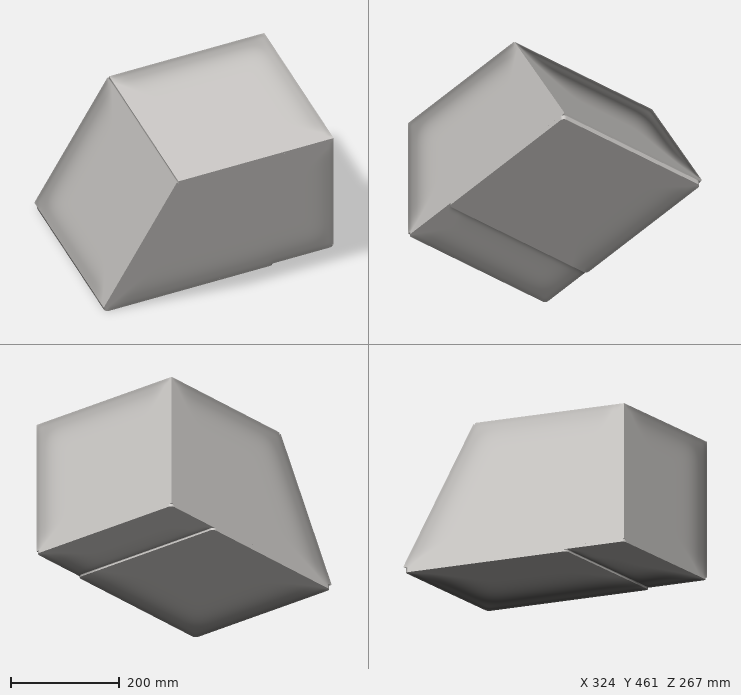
import cadquery as cq
import math

width = 324.0
depth = 461.0
height = 267.0

panel_thickness = 3.5
base_thickness = 5.0
foot_thickness = 4.0
foot_length = 337.5
corner_radius = 7.5
slope_angle = math.radians(60)

base_bottom = foot_thickness
core_bottom = base_bottom + base_thickness
core_top = height - panel_thickness

panel_offset_y = panel_thickness * math.sin(slope_angle)
panel_offset_z = panel_thickness * math.cos(slope_angle)
core_front = panel_offset_y
slope_top = core_front + (core_top - core_bottom) / math.tan(slope_angle)


def side_profile(points):
    """Extrude a closed Y-Z outline across the full width."""
    return cq.Workplane("YZ").polyline(points).close().extrude(width)


def rounded_plate(back, length, bottom, thickness):
    """Flat plate with rounded vertical corners, running forward from its back edge."""
    plate = cq.Workplane("XY").box(width, length, thickness, centered=False)
    plate = plate.edges("|Z").fillet(corner_radius)
    return plate.translate((0, back - length, bottom))


housing = side_profile([
    (core_front, core_bottom),
    (depth, core_bottom),
    (depth, core_top),
    (slope_top, core_top),
])

top_panel = side_profile([
    (slope_top, core_top),
    (depth, core_top),
    (depth, height),
    (slope_top, height),
])

front_panel = side_profile([
    (core_front, core_bottom),
    (slope_top, core_top),
    (slope_top - panel_offset_y, core_top + panel_offset_z),
    (core_front - panel_offset_y, core_bottom + panel_offset_z),
])

base_plate = rounded_plate(depth, depth - core_front, base_bottom, base_thickness)

foot_plate = rounded_plate(core_front + foot_length, foot_length, 0, foot_thickness)

result = cq.Compound.makeCompound([
    housing.val(),
    top_panel.val(),
    front_panel.val(),
    base_plate.val(),
    foot_plate.val(),
])